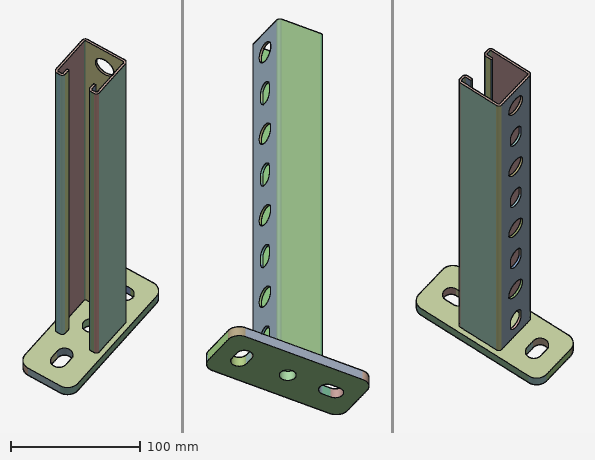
import cadquery as cq

total_height = 328.0
plate_width = 50.0
plate_length = 125.0
plate_thickness = 9.0
plate_corner_radius = 10.0

plate_hole_diameter = 13.0
front_slot_length = 20.5
front_slot_offset = 39.0
rear_slot_length = 21.0
rear_slot_offset = 41.3

channel_size = 41.0
wall = 2.0
bend_radius = 3.0
flange_width = 9.0
lip_depth = 8.0
inner_bend_radius = bend_radius - wall

hole_pairs = 4
hole_diameter = 17.5
back_slot_width = 13.0
back_slot_length = 20.0

channel_height = total_height - plate_thickness
hole_pitch = channel_height / (2 * hole_pairs)
half_size = channel_size / 2


def make_base_plate():
    """Rounded plate with a centre hole and one slot near each end."""
    plate = (
        cq.Workplane("XY")
        .rect(plate_width, plate_length)
        .extrude(plate_thickness)
        .edges("|Z")
        .fillet(plate_corner_radius)
    )
    centre_hole = cq.Workplane("XY").circle(plate_hole_diameter / 2).extrude(plate_thickness)
    front_slot = (
        cq.Workplane("XY")
        .center(0, -front_slot_offset)
        .slot2D(front_slot_length, plate_hole_diameter, 90)
        .extrude(plate_thickness)
    )
    rear_slot = (
        cq.Workplane("XY")
        .center(0, rear_slot_offset)
        .slot2D(rear_slot_length, plate_hole_diameter)
        .extrude(plate_thickness)
    )
    return plate.cut(centre_hole).cut(front_slot).cut(rear_slot)


def upright_block(x_min, x_max, y_min, y_max):
    """Block of the channel's height, standing on the plate."""
    return (
        cq.Workplane("XY", origin=(0, 0, plate_thickness))
        .moveTo((x_min + x_max) / 2, (y_min + y_max) / 2)
        .rect(x_max - x_min, y_max - y_min)
        .extrude(channel_height)
    )


def rounded_block(x_min, x_max, y_min, y_max, radius):
    """Upright block with its four vertical edges rounded."""
    return upright_block(x_min, x_max, y_min, y_max).edges("|Z").fillet(radius)


def make_channel_profile():
    """Bent-sheet channel with inward flanges and lips turned back inside."""
    inside = half_size - wall
    lip_face = half_size - flange_width
    lip_back = lip_face + wall
    lip_top = -half_size + lip_depth

    outer = rounded_block(-half_size, half_size, -half_size, half_size, bend_radius)
    cavity = rounded_block(-inside, inside, -inside, inside, inner_bend_radius)
    mouth_half = half_size - bend_radius
    mouth = upright_block(-mouth_half, mouth_half, -half_size, 0)
    channel = outer.cut(cavity).cut(mouth)

    for side in (-1, 1):
        hook = (
            upright_block(*sorted((side * lip_face, side * half_size)), -half_size, lip_top)
            .edges("|Z and <Y")
            .fillet(bend_radius)
        )
        hollow = (
            upright_block(*sorted((side * lip_back, side * inside)), -inside, lip_top)
            .edges("|Z and <Y")
            .fillet(inner_bend_radius)
        )
        channel = channel.union(hook.cut(hollow))
    return channel.clean()


def back_cutter(height):
    """Workplane at the given height, facing through the channel back."""
    return cq.Workplane("XZ", origin=(0, half_size, height))


def make_channel():
    """Channel with slots and round holes alternating up its back."""
    channel = make_channel_profile()
    for pair in range(hole_pairs):
        slot_height = plate_thickness + hole_pitch * (2 * pair + 0.5)
        slot = back_cutter(slot_height).slot2D(back_slot_length, back_slot_width, 90).extrude(wall)
        hole = back_cutter(slot_height + hole_pitch).circle(hole_diameter / 2).extrude(wall)
        channel = channel.cut(slot).cut(hole)
    return channel


base_plate = make_base_plate()
channel = make_channel()

result = cq.Compound.makeCompound([base_plate.val(), *channel.vals()])